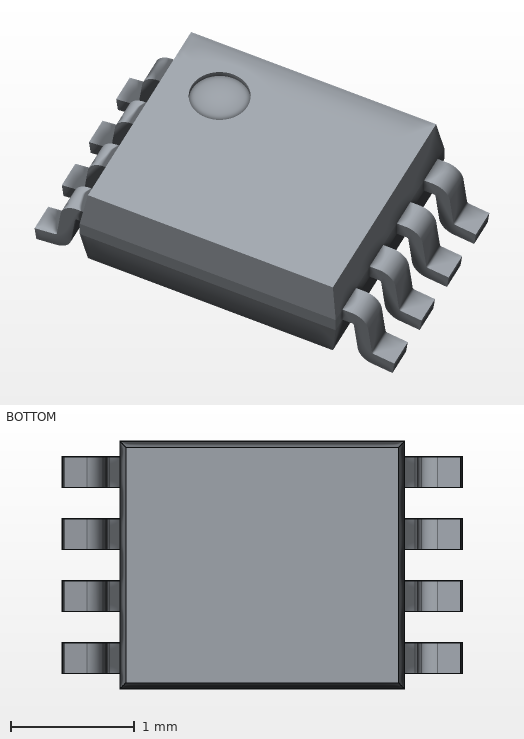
import cadquery as cq
import math

overall_length = 3.23
lead_thickness = 0.13

body_length = 2.3
body_width = 2.0
body_height = 0.798
standoff = 0.103
draft_angle = 8.5

mark_diameter = 0.5
mark_depth = 0.05

leads_per_side = 4
lead_pitch = 0.5
lead_width = lead_pitch / 2
shoulder_length = 0.085
lead_tilt = 7.0
inner_bend_radius = 0.02

draft_height = (body_height - lead_thickness) / 2
draft_inset = draft_height * math.tan(math.radians(draft_angle))
band_bottom = standoff + draft_height
band_top = band_bottom + lead_thickness
body_top = standoff + body_height
outer_bend_radius = inner_bend_radius + lead_thickness


def body_slab(base_z, height, taper=0):
    """Slab with the full body footprint at base_z, narrowing with height by the taper angle."""
    footprint = cq.Workplane("XY").workplane(offset=base_z).rect(body_length, body_width)
    return footprint.extrude(height, taper=taper)


def make_body():
    """Body with a straight band, drafted above and below, and a round mark in its top."""
    band = body_slab(band_bottom, lead_thickness)
    upper = body_slab(band_top, draft_height, draft_angle)
    lower = body_slab(band_bottom, -draft_height, draft_angle)

    mark_x = -body_length / 2 + draft_inset + mark_diameter
    mark_y = body_width / 2 - draft_inset - mark_diameter
    mark = (
        cq.Workplane("XY")
        .workplane(offset=body_top - mark_depth)
        .center(mark_x, mark_y)
        .circle(mark_diameter / 2)
        .extrude(mark_depth)
    )
    return band.union(upper).union(lower).cut(mark)


def make_left_lead():
    """Lead leaving the -X side of the body, centred on Y = 0."""
    tilt = math.radians(lead_tilt)
    sin_tilt = math.sin(tilt)
    cos_tilt = math.cos(tilt)

    body_side = -body_length / 2
    shoulder_half_turn = (math.pi / 2 - tilt) / 2
    shoulder_x = body_side - shoulder_length - outer_bend_radius * math.tan(shoulder_half_turn)
    shoulder_outer = (shoulder_x, band_top)
    shoulder_inner = (shoulder_x + lead_thickness * math.tan(shoulder_half_turn), band_bottom)

    tip_top = (-overall_length / 2, lead_thickness * cos_tilt)
    tip_bottom = (tip_top[0] + lead_thickness * sin_tilt, 0)

    def ankle(leg_point, foot_point):
        """Point where a leg face through leg_point meets a foot face through foot_point."""
        run = leg_point[0] - foot_point[0]
        rise = leg_point[1] - foot_point[1]
        foot_length = (run * cos_tilt - rise * sin_tilt) / math.cos(2 * tilt)
        return (foot_point[0] + foot_length * cos_tilt, foot_point[1] + foot_length * sin_tilt)

    ankle_inner = ankle(shoulder_outer, tip_top)
    ankle_outer = ankle(shoulder_inner, tip_bottom)

    outline = [
        (body_side, band_top),
        shoulder_outer,
        ankle_inner,
        tip_top,
        tip_bottom,
        ankle_outer,
        shoulder_inner,
        (body_side, band_bottom),
    ]
    lead = cq.Workplane("XZ").polyline(outline).close().extrude(lead_width / 2, both=True)

    bends = [
        (shoulder_outer, outer_bend_radius),
        (shoulder_inner, inner_bend_radius),
        (ankle_outer, outer_bend_radius),
        (ankle_inner, inner_bend_radius),
    ]
    for (x, z), radius in bends:
        lead = lead.edges("|Y").edges(cq.NearestToPointSelector((x, 0, z))).fillet(radius)
    return lead


body = make_body()

left_lead = make_left_lead()
right_lead = left_lead.mirror("YZ")
leads = []
for index in range(leads_per_side):
    lead_y = (index - (leads_per_side - 1) / 2) * lead_pitch
    for side_lead in (left_lead, right_lead):
        leads.append(side_lead.translate((0, lead_y, 0)).val())

result = cq.Compound.makeCompound([body.val(), *leads])